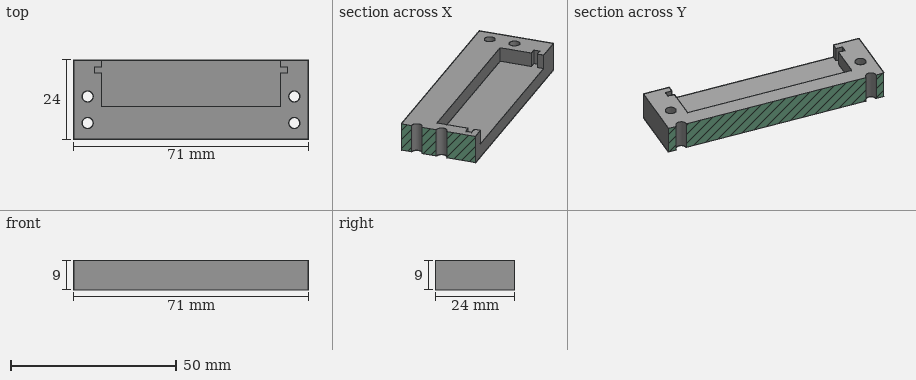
import cadquery as cq

length = 71.0
width = 24.0
height = 9.0
middle_x = length / 2

pocket_length = 54.0
pocket_width = 14.05
pocket_depth = 4.55

slot_span = 58.3
slot_width = 1.9
slot_setback = 2.05

hole_diameter = 3.3
hole_end_inset = 4.25
hole_front_inset = 5.0
hole_pitch = 8.0


def make_body():
    return (
        cq.Workplane("XY")
        .rect(length, width, centered=False)
        .extrude(height)
    )


def make_recess(span, depth_y, back_y):
    """Box sunk from the top face, centred along X, with its +Y side at back_y."""
    return (
        cq.Workplane("XY", origin=(middle_x, back_y - depth_y / 2, height - pocket_depth))
        .rect(span, depth_y)
        .extrude(pocket_depth)
    )


def make_holes():
    centers = [
        (x, hole_front_inset + row * hole_pitch)
        for x in (hole_end_inset, length - hole_end_inset)
        for row in range(2)
    ]
    return cq.Workplane("XY").pushPoints(centers).circle(hole_diameter / 2).extrude(height)


pocket = make_recess(pocket_length, pocket_width, width)
slots = make_recess(slot_span, slot_width, width - slot_setback)
result = make_body().cut(pocket).cut(slots).cut(make_holes())